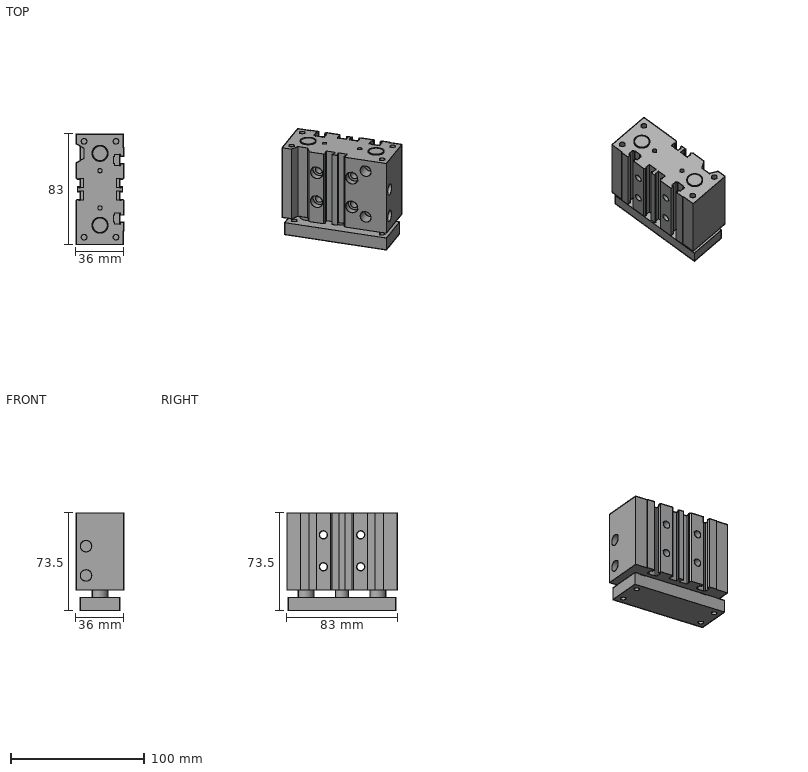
import cadquery as cq


body_x = 36.0
body_y = 83.0
body_z = 58.0
half_x = body_x / 2
half_y = body_y / 2
end_relief_depth = 0.5
end_relief_start_y = 31.3

plate_x = 30.0
plate_y = 81.0
plate_z = 10.0
plate_gap = 5.5
plate_hole_x = 9.0
plate_hole_y = 35.0
plate_hole_d = 4.2
guide_rod_d = 12.0
guide_rod_y = 27.0
guide_rod_chamfer = 0.5
piston_rod_d = 10.0

sensor_floor_x = 12.3
sensor_outer_y = 8.1
rib_half_width = 1.35
rib_head_half_width = 2.2
rib_head_outer_x = 17.0
lip_inner_x = 15.8
lip_y = 7.5
lip_chamfer = 1.0

dovetail_y = guide_rod_y
dovetail_depth = 6.0
dovetail_mouth_half = 7.15
dovetail_floor_half = 3.8

t_slot_y = 22.0
t_slot_mouth_half = 2.7
t_slot_head_half = 4.2
t_slot_head_outer_x = 15.25
t_slot_head_inner_x = 10.7
t_slot_floor_x = 10.1

corner_hole_x = 12.0
corner_hole_y = 36.0
corner_hole_d = 4.2
corner_hole_depth = 10.0
pin_hole_y = 14.0
pin_hole_d = 3.2
pin_hole_depth = 6.0

bolt_y = 14.0
bolt_levels = (17.5, 41.5)
bolt_hole_d = 5.8
bolt_head_d = 9.5
bolt_head_depth = 5.5

port_d = 8.6
port_depth = 10.0
side_port_y = -25.0
side_port_levels = (11.0, 49.0)
front_port_x = -10.5
front_port_levels = (11.0, 33.0)


def z_block(x_range, y_range):
    """Full-height block between the given X and Y limits."""
    size_x = x_range[1] - x_range[0]
    size_y = y_range[1] - y_range[0]
    return cq.Workplane("XY").box(size_x, size_y, body_z, centered=False).translate((x_range[0], y_range[0], 0))


def z_prism(points):
    """Full-height prism over a closed outline."""
    return cq.Workplane("XY").polyline(points).close().extrude(body_z)


def sensor_slot():
    """Slot on the +X face and +Y side of the rib, with its chamfered lip."""
    return z_prism([
        (half_x, 0),
        (rib_head_outer_x, 0),
        (rib_head_outer_x, rib_head_half_width),
        (lip_inner_x, rib_head_half_width),
        (lip_inner_x, rib_half_width),
        (sensor_floor_x, rib_half_width),
        (sensor_floor_x, sensor_outer_y),
        (lip_inner_x, sensor_outer_y),
        (lip_inner_x, lip_y),
        (half_x - lip_chamfer, lip_y),
        (half_x, lip_y + lip_chamfer),
    ])


def dovetail_groove():
    floor_x = -half_x + dovetail_depth
    return z_prism([
        (-half_x, dovetail_y - dovetail_mouth_half),
        (floor_x, dovetail_y - dovetail_floor_half),
        (floor_x, dovetail_y + dovetail_floor_half),
        (-half_x, dovetail_y + dovetail_mouth_half),
    ])


def t_slot(y):
    mouth = z_block((t_slot_floor_x, half_x), (y - t_slot_mouth_half, y + t_slot_mouth_half))
    head = z_block((t_slot_head_inner_x, t_slot_head_outer_x), (y - t_slot_head_half, y + t_slot_head_half))
    return mouth.union(head)


def top_holes(points, diameter, depth):
    """Holes drilled down from the top face."""
    return cq.Workplane("XY", origin=(0, 0, body_z)).pushPoints(points).circle(diameter / 2).extrude(-depth)


def x_holes(points, diameter, depth):
    """Holes drilled from the -X face at (Y, Z) points."""
    return cq.Workplane("YZ", origin=(-half_x, 0, 0)).pushPoints(points).circle(diameter / 2).extrude(depth)


def front_holes(points, diameter, depth):
    """Holes drilled from the -Y face at (X, Z) points."""
    return cq.Workplane("XZ", origin=(0, -half_y, 0)).pushPoints(points).circle(diameter / 2).extrude(-depth)


def four_corners(x, y):
    return [(sx * x, sy * y) for sx in (-1, 1) for sy in (-1, 1)]


def make_housing():
    body = z_block((-half_x, half_x), (-half_y, half_y))

    slot = sensor_slot()
    slot_pair = slot.union(slot.mirror("XZ"))
    body = body.cut(slot_pair).cut(slot_pair.mirror("YZ"))
    body = body.cut(dovetail_groove())
    relief = z_block((half_x - end_relief_depth, half_x), (end_relief_start_y, half_y))
    body = body.cut(relief).cut(relief.mirror("XZ"))
    for side in (-1, 1):
        body = body.cut(t_slot(side * t_slot_y))

    guide_points = [(0, -guide_rod_y), (0, guide_rod_y)]
    body = body.cut(top_holes(guide_points, guide_rod_d, body_z))
    body = body.cut(top_holes(four_corners(corner_hole_x, corner_hole_y), corner_hole_d, corner_hole_depth))
    body = body.cut(top_holes([(0, -pin_hole_y), (0, pin_hole_y)], pin_hole_d, pin_hole_depth))

    bolt_points = [(side * bolt_y, z) for side in (-1, 1) for z in bolt_levels]
    body = body.cut(x_holes(bolt_points, bolt_hole_d, body_x))
    body = body.cut(x_holes(bolt_points, bolt_head_d, bolt_head_depth))
    body = body.cut(x_holes([(side_port_y, z) for z in side_port_levels], port_d, port_depth))

    return body.cut(front_holes([(front_port_x, z) for z in front_port_levels], port_d, port_depth))


def make_guide_rod(y):
    """Rod from the plate to the housing top, with a chamfered upper end."""
    rod = cq.Workplane("XY", origin=(0, y, -plate_gap)).circle(guide_rod_d / 2).extrude(plate_gap + body_z)
    return rod.faces(">Z").chamfer(guide_rod_chamfer)


def make_carriage():
    """Tool plate with its piston rod and two guide rods."""
    plate = cq.Workplane("XY", origin=(0, 0, -plate_gap)).rect(plate_x, plate_y).extrude(-plate_z)
    plate = (
        plate.faces(">Z").workplane(origin=(0, 0, 0))
        .pushPoints(four_corners(plate_hole_x, plate_hole_y)).hole(plate_hole_d)
    )
    piston_rod = cq.Workplane("XY", origin=(0, 0, -plate_gap)).circle(piston_rod_d / 2).extrude(plate_gap)
    carriage = plate.union(piston_rod)
    for side in (-1, 1):
        carriage = carriage.union(make_guide_rod(side * guide_rod_y))
    return carriage


housing = make_housing()
carriage = make_carriage()

result = cq.Compound.makeCompound([housing.val(), carriage.val()])